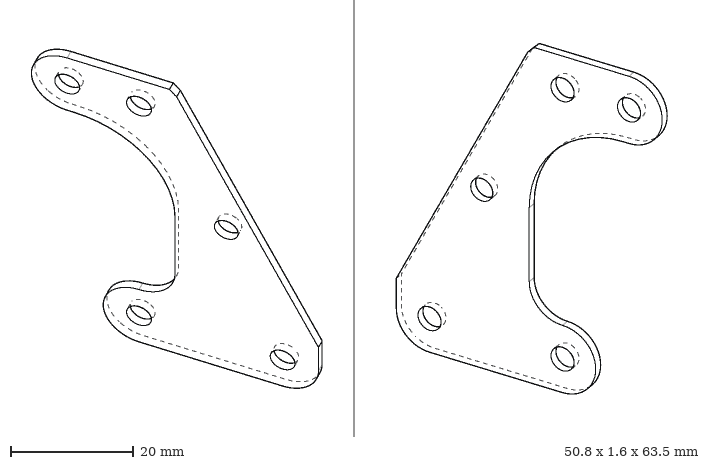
import cadquery as cq
import math

width = 50.8
height = 63.5
thickness = 1.6

end_radius = 6.35
recess_x = 25.4
upper_recess_radius = 17.8
lower_recess_radius = 6.35
lower_left_x = 19.05

slope_bottom_z = 12.05
top_edge_end_x = 24.45
slope_top = (25.7, 62.2)

mount_hole_diameter = 4.4
middle_hole_diameter = 4.2
middle_hole_center = (34.5, 33.65)

top_center_z = height - end_radius
lower_right_x = width - end_radius
mount_hole_centers = [
    (end_radius, top_center_z),
    (lower_left_x, top_center_z),
    (lower_left_x, end_radius),
    (lower_right_x, end_radius),
]


def quarter_point(center_x, center_z, radius, x_sign, z_sign):
    """Point halfway along a quarter circle in the given diagonal direction."""
    offset = radius * math.sqrt(0.5)
    return (center_x + x_sign * offset, center_z + z_sign * offset)


def make_plate():
    upper_arm_z = height - 2 * end_radius
    upper_recess_x = recess_x - upper_recess_radius
    upper_recess_z = upper_arm_z - upper_recess_radius
    lower_arm_z = 2 * end_radius
    lower_recess_x = recess_x - lower_recess_radius
    lower_recess_z = lower_arm_z + lower_recess_radius
    return (
        cq.Workplane("XZ")
        .moveTo(end_radius, height)
        .lineTo(top_edge_end_x, height)
        .lineTo(*slope_top)
        .lineTo(width, slope_bottom_z)
        .lineTo(width, end_radius)
        .threePointArc(quarter_point(lower_right_x, end_radius, end_radius, 1, -1), (lower_right_x, 0))
        .lineTo(lower_left_x, 0)
        .threePointArc((lower_left_x - end_radius, end_radius), (lower_left_x, lower_arm_z))
        .threePointArc(
            quarter_point(lower_recess_x, lower_recess_z, lower_recess_radius, 1, -1),
            (recess_x, lower_recess_z),
        )
        .lineTo(recess_x, upper_recess_z)
        .threePointArc(
            quarter_point(upper_recess_x, upper_recess_z, upper_recess_radius, 1, 1),
            (upper_recess_x, upper_arm_z),
        )
        .lineTo(end_radius, upper_arm_z)
        .threePointArc((0, top_center_z), (end_radius, height))
        .close()
        .extrude(thickness)
    )


def make_holes(centers, diameter):
    return cq.Workplane("XZ").pushPoints(centers).circle(diameter / 2).extrude(thickness)


mount_holes = make_holes(mount_hole_centers, mount_hole_diameter)
middle_hole = make_holes([middle_hole_center], middle_hole_diameter)
result = make_plate().cut(mount_holes).cut(middle_hole)